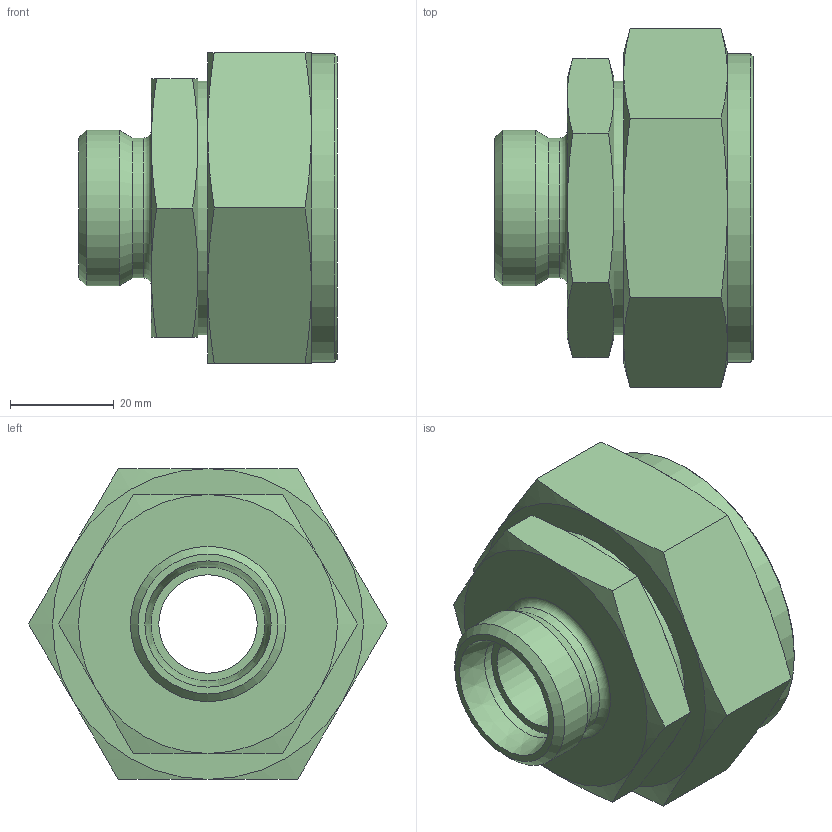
import cadquery as cq
import math

spigot_chamfer = 1.5
undercut_start_x = 10.4
small_hex_start_x = 14.0
small_hex_end_x = 23.0
large_hex_start_x = 24.9
large_hex_end_x = 44.9
total_length = 49.9

spigot_radius = 15.0
undercut_radius = 13.5
undercut_slope_angle = 30.0
root_fillet_radius = spigot_radius - undercut_radius

cone_mouth_radius = 12.2
cone_half_angle = 12.0
tube_seat_radius = 11.0
tube_seat_depth = 7.5
bore_radius = 9.5

small_hex_width = 50.0
large_hex_width = 60.0
hex_chamfer_angle = 15.0
collar_radius = 24.5
rim_radius = 29.8
rim_chamfer = 0.5


def tangent(degrees):
    return math.tan(math.radians(degrees))


def revolve_about_x(profile):
    """Revolve a closed (axial, radial) profile fully around the X axis."""
    return profile.close().revolve(360, (0, 0, 0), (1, 0, 0))


def make_turned_body():
    """Spigot, collar and rear rim as one turned core."""
    slope_length = (spigot_radius - undercut_radius) / tangent(undercut_slope_angle)
    fillet_start_x = small_hex_start_x - root_fillet_radius
    fillet_mid_offset = root_fillet_radius * math.sqrt(0.5)
    fillet_mid = (
        fillet_start_x + fillet_mid_offset,
        undercut_radius + root_fillet_radius - fillet_mid_offset,
    )
    profile = (
        cq.Workplane("XY")
        .moveTo(0, 0)
        .lineTo(0, spigot_radius - spigot_chamfer)
        .lineTo(spigot_chamfer, spigot_radius)
        .lineTo(undercut_start_x - slope_length, spigot_radius)
        .lineTo(undercut_start_x, undercut_radius)
        .lineTo(fillet_start_x, undercut_radius)
        .threePointArc(fillet_mid, (small_hex_start_x, spigot_radius))
        .lineTo(small_hex_start_x, collar_radius)
        .lineTo(large_hex_start_x, collar_radius)
        .lineTo(large_hex_start_x, rim_radius)
        .lineTo(total_length - rim_chamfer, rim_radius)
        .lineTo(total_length, rim_radius - rim_chamfer)
        .lineTo(total_length, 0)
    )
    return revolve_about_x(profile)


def make_chamfered_hex(start_x, end_x, width):
    """Hexagon with flats facing +Z and -Z, its corners turned conical at both ends."""
    flat_radius = width / 2
    corner_radius = flat_radius / math.cos(math.pi / 6)
    prism = (
        cq.Workplane("YZ", origin=(start_x, 0, 0))
        .polygon(6, 2 * corner_radius)
        .extrude(end_x - start_x)
    )
    chamfer_depth = (corner_radius - flat_radius) * tangent(hex_chamfer_angle)
    envelope_profile = (
        cq.Workplane("XY")
        .moveTo(start_x, 0)
        .lineTo(start_x, flat_radius)
        .lineTo(start_x + chamfer_depth, corner_radius)
        .lineTo(end_x - chamfer_depth, corner_radius)
        .lineTo(end_x, flat_radius)
        .lineTo(end_x, 0)
    )
    return prism.intersect(revolve_about_x(envelope_profile))


def make_socket_and_bore():
    """Cutter for the sealing cone, the tube seat and the through bore."""
    cone_length = (cone_mouth_radius - tube_seat_radius) / tangent(cone_half_angle)
    profile = (
        cq.Workplane("XY")
        .moveTo(0, 0)
        .lineTo(0, cone_mouth_radius)
        .lineTo(cone_length, tube_seat_radius)
        .lineTo(tube_seat_depth, tube_seat_radius)
        .lineTo(tube_seat_depth, bore_radius)
        .lineTo(total_length, bore_radius)
        .lineTo(total_length, 0)
    )
    return revolve_about_x(profile)


small_hex = make_chamfered_hex(small_hex_start_x, small_hex_end_x, small_hex_width)
large_hex = make_chamfered_hex(large_hex_start_x, large_hex_end_x, large_hex_width)

result = (
    make_turned_body()
    .union(small_hex)
    .union(large_hex)
    .cut(make_socket_and_bore())
)